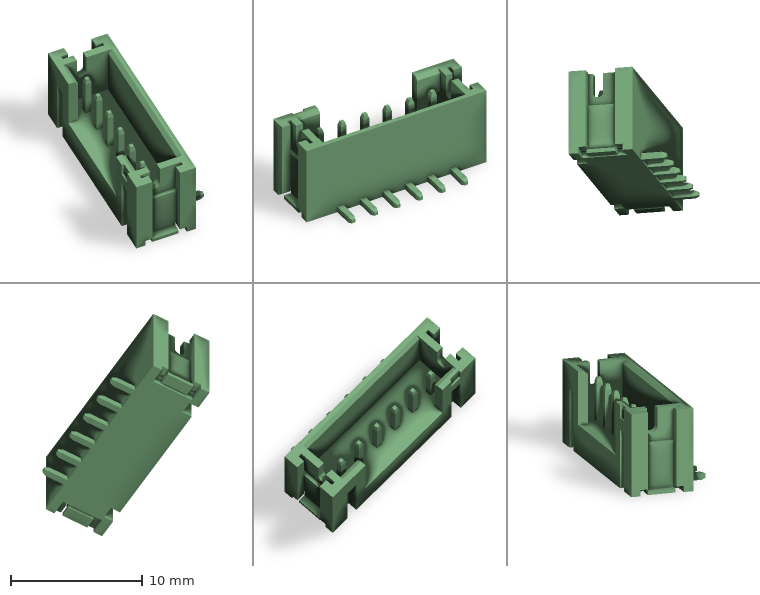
import cadquery as cq


length = 15.95
depth = 5.01
height = 6.6

cavity_length = 12.66
floor_height = 2.36
front_wall = 0.81
back_wall = 0.72
lead_in_depth = 0.33
lead_in_height = 0.29

window_width = 8.6
leg_slot_width = 1.0
leg_slot_height = 4.63
key_notch_height = 1.0
key_notch_depth = 0.2

end_slot_width = 0.81
end_slot_bottom = 4.7
end_slot_center_y = 2.05

tab_thickness = 0.3
tab_slot_offset = 6.94
tab_slot_width = 3.5
channel_width = 2.33
tab_relief_height = 0.5
tab_relief_offset = 6.7

tab_clearance = 0.05
tab_height = 3.99
tab_shoulder_height = 1.02
tab_foot_reach = 7.85
tab_bend_radius = 0.05

pin_count = 6
pin_row_length = 10.0
pin_width = 0.51
pin_tip_width = 0.3
pin_top = 5.8
pin_tip_height = 0.38
pin_reach = 2.0
pin_tail_tip_length = 0.35
pin_center_y = 1.9

cavity_half = cavity_length / 2
cavity_back = depth - back_wall
tab_outer_x = tab_slot_offset + tab_thickness
tab_center_y = depth / 2
tail_end_y = depth + pin_reach
pin_pitch = pin_row_length / (pin_count - 1)


def block(x_range, y_range, z_range):
    """Box between the two limits on each axis."""
    size = [high - low for low, high in (x_range, y_range, z_range)]
    corner = (x_range[0], y_range[0], z_range[0])
    return cq.Workplane("XY").box(*size, centered=False).translate(corner)


def span(center, width):
    """Limits of a width about its centre."""
    return (center - width / 2, center + width / 2)


def x_span(side, inner, outer):
    """Limits between two distances from the middle, on the left (-1) or right (+1)."""
    return tuple(sorted((side * inner, side * outer)))


def cavity():
    """Plug cavity, widened at the rim by a lead-in on its front and back walls."""
    shoulder = height - lead_in_height
    profile = [
        (front_wall, floor_height),
        (cavity_back, floor_height),
        (cavity_back, shoulder),
        (cavity_back + lead_in_depth, height),
        (front_wall - lead_in_depth, height),
        (front_wall, shoulder),
    ]
    return (
        cq.Workplane("YZ")
        .polyline(profile)
        .close()
        .extrude(cavity_half, both=True)
    )


def front_window():
    """Wide opening in the front wall, down to the cavity floor."""
    return block(span(0, window_width), (0, front_wall), (floor_height, height))


def leg_slot(side):
    """Slot up from the seating plane, at the end of the cavity."""
    x_range = x_span(side, cavity_half - leg_slot_width, cavity_half)
    return block(x_range, (0, front_wall), (0, leg_slot_height))


def key_notch():
    """Shallow polarity notch in the rim above the right leg slot."""
    x_range = (cavity_half - leg_slot_width, cavity_half)
    return block(x_range, (0, key_notch_depth), (height - key_notch_height, height))


def end_slot():
    """Round-bottomed slot through both end walls."""
    radius = end_slot_width / 2
    arc_center_z = end_slot_bottom + radius
    front = end_slot_center_y - radius
    back = end_slot_center_y + radius
    return (
        cq.Workplane("YZ")
        .moveTo(front, height)
        .lineTo(front, arc_center_z)
        .threePointArc((end_slot_center_y, end_slot_bottom), (back, arc_center_z))
        .lineTo(back, height)
        .close()
        .extrude(tab_outer_x, both=True)
    )


def tab_pocket(side):
    """Tab slot, the channel outside it and the relief along the bottom of the end wall."""
    slot_y = span(tab_center_y, tab_slot_width)
    outside = x_span(side, tab_slot_offset, length / 2)
    slot = block(x_span(side, tab_slot_offset, tab_outer_x), slot_y, (0, height))
    channel = block(outside, span(tab_center_y, channel_width), (0, height))
    relief = block(x_span(side, tab_relief_offset, length / 2), slot_y, (0, tab_relief_height))
    return slot.union(channel).union(relief)


def pin_leg(leg_length, tip_length):
    """Square leg along +Z from the origin, tapering to a smaller flat tip."""
    shank_length = leg_length - tip_length
    shank = cq.Workplane("XY").rect(pin_width, pin_width).extrude(shank_length)
    tip = (
        cq.Workplane("XY", origin=(0, 0, shank_length))
        .rect(pin_width, pin_width)
        .workplane(offset=tip_length)
        .rect(pin_tip_width, pin_tip_width)
        .loft(ruled=True)
    )
    return shank.union(tip)


def pin(x):
    """Right-angle pin: a contact standing up in the cavity and a tail out of the back."""
    contact = pin_leg(pin_top, pin_tip_height).translate((x, pin_center_y, 0))
    tail = (
        pin_leg(tail_end_y - pin_center_y, pin_tail_tip_length)
        .rotate((0, 0, 0), (1, 0, 0), -90)
        .translate((x, pin_center_y, pin_width / 2))
    )
    return contact.union(tail)


def make_housing():
    """Housing, in one piece with its row of pins."""
    body = block(span(0, length), (0, depth), (0, height))
    body = body.cut(cavity()).cut(front_window()).cut(key_notch()).cut(end_slot())
    for side in (-1, 1):
        body = body.cut(leg_slot(side)).cut(tab_pocket(side))
    for index in range(pin_count):
        body = body.union(pin(index * pin_pitch - pin_row_length / 2))
    return body


def make_tab(side):
    """Solder tab: a shouldered plate in the slot, bent outward into a foot."""
    plate_x = x_span(side, tab_slot_offset, tab_outer_x)
    plate_y = span(tab_center_y, tab_slot_width - 2 * tab_clearance)
    foot_y = span(tab_center_y, channel_width - 2 * tab_clearance)
    plate = block(plate_x, plate_y, (tab_shoulder_height, tab_height))
    neck = block(plate_x, foot_y, (0, tab_shoulder_height))
    foot = block(x_span(side, tab_slot_offset, tab_foot_reach), foot_y, (0, tab_thickness))
    bend_line = cq.selectors.NearestToPointSelector(
        (side * tab_outer_x, tab_center_y, tab_thickness)
    )
    bent_strip = neck.union(foot).edges(bend_line).fillet(tab_bend_radius)
    return bent_strip.union(plate)


housing = make_housing()
tabs = [make_tab(side) for side in (-1, 1)]

result = cq.Compound.makeCompound([housing.val(), *[tab.val() for tab in tabs]])